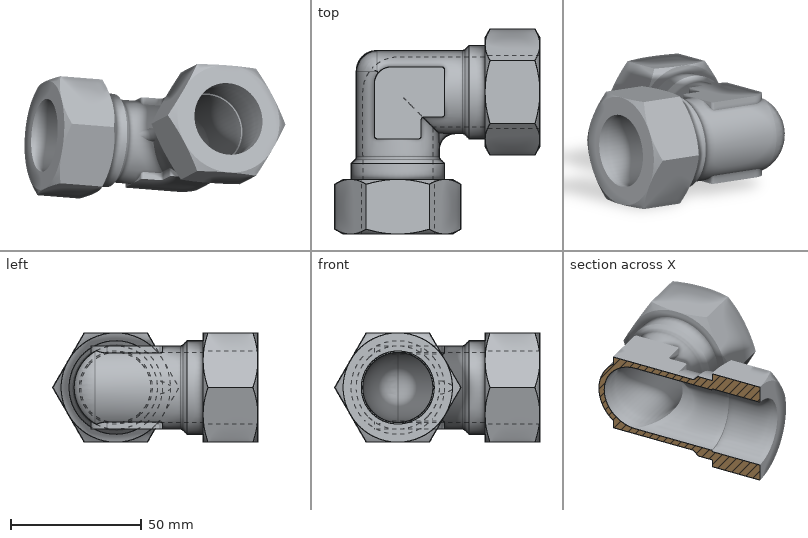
import cadquery as cq
import math

ACROSS_FLATS = 42.0
NUT_LENGTH = 21.0
NUT_FACE_RADIUS = ACROSS_FLATS / 2
NUT_CORNER_RADIUS = ACROSS_FLATS / math.sqrt(3)
NUT_CHAMFER_LENGTH = 1.9

OVERALL = 78.75
ARM_LENGTH = OVERALL - NUT_CORNER_RADIUS
NUT_START = ARM_LENGTH - NUT_LENGTH
BODY_RADIUS = 16.0
COLLAR_RADIUS = 17.95
COLLAR_START = 27.4
NECK_FILLET = 1.5

BORE_RADIUS = 13.5
NUT_BORE_RADIUS = 14.0

BEND_RADIUS = 8.0
WEB_RADIUS = 6.0
WEB_HALF_THICKNESS = 2.5

PAD_HALF_WIDTH_X = 9.6
PAD_HALF_WIDTH_Y = 9.0
PAD_REACH = 17.95
PAD_BEND_RADIUS = 6.3
PAD_CORNER_RADIUS = 1.0


def along_y(shape):
    """Turn a shape lying along +X so that it lies along -Y."""
    return shape.rotate((0, 0, 0), (0, 0, 1), -90)


def cylinder_x(radius, start, end):
    return cq.Workplane("YZ").workplane(offset=start).circle(radius).extrude(end - start)


def upright_prism(outline):
    """Prism on an XY outline, reaching to the tops of the arms above and below."""
    return cq.Workplane("XY").polyline(outline).close().extrude(BODY_RADIUS, both=True)


def elbow_body():
    """Two cylinders mitred on the diagonal, the outer corner turned about a Z axis."""
    corner = BODY_RADIUS
    outer_corner = (-corner, corner)
    inner_end = (NUT_START, -NUT_START)
    arm_x = cylinder_x(BODY_RADIUS, -corner, NUT_START)
    mitred_x = arm_x.intersect(upright_prism([outer_corner, (NUT_START, corner), inner_end]))
    mitred_y = along_y(arm_x).intersect(upright_prism([outer_corner, (-corner, -NUT_START), inner_end]))

    bend_centre = corner - BEND_RADIUS
    corner_block = upright_prism(
        [
            outer_corner,
            (-bend_centre, corner),
            (-bend_centre, bend_centre),
            (-corner, bend_centre),
        ]
    )
    half_height = math.sqrt(BODY_RADIUS**2 - bend_centre**2)
    bend = (
        cq.Workplane("XZ", origin=(-bend_centre, bend_centre, 0))
        .moveTo(0, -half_height)
        .threePointArc((-BEND_RADIUS, 0), (0, half_height))
        .close()
        .revolve(360, (0, 0, 0), (0, 1, 0))
    )
    return mitred_x.union(mitred_y).cut(corner_block).union(bend.intersect(corner_block))


def collar():
    """Collar with a 45 degree back cone that runs into the arm through a fillet."""
    cone_start = COLLAR_START - (COLLAR_RADIUS - BODY_RADIUS)
    fillet_start = cone_start - NECK_FILLET * math.tan(math.pi / 8)
    centre_radius = BODY_RADIUS + NECK_FILLET

    def fillet_point(angle):
        x = fillet_start + NECK_FILLET * math.sin(angle)
        return x, centre_radius - NECK_FILLET * math.cos(angle)

    return (
        cq.Workplane("XY")
        .moveTo(fillet_start, 0)
        .lineTo(fillet_start, BODY_RADIUS)
        .threePointArc(fillet_point(math.pi / 8), fillet_point(math.pi / 4))
        .lineTo(COLLAR_START, COLLAR_RADIUS)
        .lineTo(NUT_START, COLLAR_RADIUS)
        .lineTo(NUT_START, 0)
        .close()
        .revolve(360, (0, 0, 0), (1, 0, 0))
    )


def nut():
    """Hex nut with its corners along +-Y and both ends turned to a cone."""
    hexagon = (
        cq.Workplane("YZ")
        .workplane(offset=NUT_START)
        .polygon(6, 2 * NUT_CORNER_RADIUS)
        .extrude(NUT_LENGTH)
    )
    turned = (
        cq.Workplane("XY")
        .moveTo(NUT_START, 0)
        .lineTo(NUT_START, NUT_FACE_RADIUS)
        .lineTo(NUT_START + NUT_CHAMFER_LENGTH, NUT_CORNER_RADIUS)
        .lineTo(ARM_LENGTH - NUT_CHAMFER_LENGTH, NUT_CORNER_RADIUS)
        .lineTo(ARM_LENGTH, NUT_FACE_RADIUS)
        .lineTo(ARM_LENGTH, 0)
        .close()
        .revolve(360, (0, 0, 0), (1, 0, 0))
    )
    return hexagon.intersect(turned)


def fillet_upright(plate, corner, radius):
    """Round the edge parallel to Z that stands at the given corner."""
    edge = cq.selectors.NearestToPointSelector((*corner, 0))
    return plate.edges(edge).fillet(radius)


def pads():
    """L-shaped flat pads, level with the tops of the arms above and below."""
    outline = [
        (-PAD_HALF_WIDTH_Y, PAD_HALF_WIDTH_X),
        (PAD_REACH, PAD_HALF_WIDTH_X),
        (PAD_REACH, -PAD_HALF_WIDTH_X),
        (PAD_HALF_WIDTH_Y, -PAD_HALF_WIDTH_X),
        (PAD_HALF_WIDTH_Y, -PAD_REACH),
        (-PAD_HALF_WIDTH_Y, -PAD_REACH),
    ]
    bend_corner, *other_corners = outline
    plate = upright_prism(outline)
    plate = fillet_upright(plate, bend_corner, PAD_BEND_RADIUS)
    for corner in other_corners:
        plate = fillet_upright(plate, corner, PAD_CORNER_RADIUS)
    return plate


def corner_web():
    """Web with a fully rounded edge, swept in a quarter turn across the inside corner."""
    tangent = BODY_RADIUS + WEB_RADIUS
    sweep_radius = WEB_RADIUS + WEB_HALF_THICKNESS
    return (
        cq.Workplane("YZ", origin=(tangent, -tangent, 0))
        .center(sweep_radius, 0)
        .circle(WEB_HALF_THICKNESS)
        .revolve(90, (-sweep_radius, 0, 0), (-sweep_radius, 1, 0))
    )


def bore():
    """Bores of both arms meeting in a ball, widened where they pass the nuts."""
    arm = cylinder_x(BORE_RADIUS, 0, ARM_LENGTH)
    arm = arm.union(cylinder_x(NUT_BORE_RADIUS, NUT_START, ARM_LENGTH))
    return cq.Workplane("XY").sphere(BORE_RADIUS).union(arm).union(along_y(arm))


arm_end = collar().union(nut())
result = elbow_body().union(arm_end).union(along_y(arm_end))
result = result.union(pads()).union(corner_web()).cut(bore())